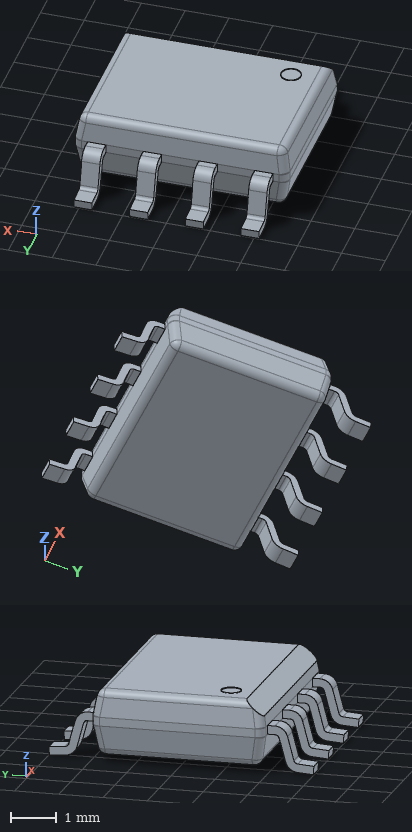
import cadquery as cq
import math

BODY_X = 4.9
BODY_Y = 3.905
BODY_TOP = 1.65
BODY_BOTTOM = 0.15
DRAFT_ANGLE = 9.7
BODY_ROUND = 0.2

BEVEL_TOP_Y = -1.505
BEVEL_ANGLE = 41.0

LEADS_PER_SIDE = 4
LEAD_PITCH = 1.27
LEAD_WIDTH = 0.42
LEAD_THICKNESS = 0.2
LEAD_SPAN = 6.0
LEAD_TOP = 1.05
KNEE_START_Y = 2.12
BEND_RADIUS = 0.2
SHANK_ANGLE = 75.0
FOOT_ANGLE = 4.0

MARKER_DIAMETER = 0.45
MARKER_RECESS = 0.02
MARKER_THICKNESS = 0.03
MARKER_X = -1.63
MARKER_Y = -1.0

BAND_TOP = LEAD_TOP
BAND_BOTTOM = LEAD_TOP - LEAD_THICKNESS


def drafted_prism(plane, width, length):
    """Prism with an upright middle band and sides that lean inward above and below it."""
    half_width = width / 2
    draft = math.tan(math.radians(DRAFT_ANGLE))
    half_top = half_width - draft * (BODY_TOP - BAND_TOP)
    half_bottom = half_width - draft * (BAND_BOTTOM - BODY_BOTTOM)
    return (
        cq.Workplane(plane)
        .moveTo(half_top, BODY_TOP)
        .lineTo(half_width, BAND_TOP)
        .lineTo(half_width, BAND_BOTTOM)
        .lineTo(half_bottom, BODY_BOTTOM)
        .lineTo(-half_bottom, BODY_BOTTOM)
        .lineTo(-half_width, BAND_BOTTOM)
        .lineTo(-half_width, BAND_TOP)
        .lineTo(-half_top, BODY_TOP)
        .close()
        .extrude(length / 2, both=True)
    )


def bevel_cutter():
    """Wedge that removes everything above the sloping plane along the -Y side."""
    reach = BODY_Y / 2
    drop = reach * math.tan(math.radians(BEVEL_ANGLE))
    return (
        cq.Workplane("YZ")
        .moveTo(BEVEL_TOP_Y, BODY_TOP)
        .lineTo(BEVEL_TOP_Y - reach, BODY_TOP - drop)
        .lineTo(BEVEL_TOP_Y - reach, BODY_TOP)
        .close()
        .extrude(BODY_X, both=True)
    )


def marker_disc(top_z, thickness):
    """Disc at the pin 1 position whose upper face lies at top_z."""
    return (
        cq.Workplane("XY", origin=(MARKER_X, MARKER_Y, top_z))
        .circle(MARKER_DIAMETER / 2)
        .extrude(-thickness)
    )


def make_marker():
    return marker_disc(BODY_TOP - MARKER_RECESS, MARKER_THICKNESS)


def make_housing():
    end_profile = drafted_prism("XZ", BODY_X, BODY_Y)
    side_profile = drafted_prism("YZ", BODY_Y, BODY_X)
    body = end_profile.intersect(side_profile)
    upright_corners = body.edges("not(#Z)")
    face_rims = body.faces("<Z or >Z").edges()
    body = body.newObject(upright_corners.vals() + face_rims.vals()).fillet(BODY_ROUND)
    return body.cut(bevel_cutter()).cut(marker_disc(BODY_TOP, MARKER_RECESS + MARKER_THICKNESS))


def make_lead():
    """One lead on the +Y side, centred on X = 0, swept along its centreline."""
    shank = math.radians(SHANK_ANGLE)
    foot = math.radians(FOOT_ANGLE)
    half_thickness = LEAD_THICKNESS / 2

    knee_tangent = BEND_RADIUS * math.tan(shank / 2)
    ankle_tangent = BEND_RADIUS * math.tan((shank - foot) / 2)

    toe_y = LEAD_SPAN / 2 - half_thickness * math.sin(foot)
    toe_z = half_thickness * math.cos(foot)

    knee_y = KNEE_START_Y + knee_tangent
    knee_z = LEAD_TOP - half_thickness
    foot_z_at_knee = toe_z + (toe_y - knee_y) * math.tan(foot)
    ankle_y = knee_y + (knee_z - foot_z_at_knee) / (math.tan(shank) - math.tan(foot))
    ankle_z = knee_z - (ankle_y - knee_y) * math.tan(shank)

    shank_y, shank_z = math.cos(shank), -math.sin(shank)
    foot_y, foot_z = math.cos(foot), -math.sin(foot)
    centreline = (
        cq.Workplane("YZ")
        .moveTo(BODY_Y / 2, knee_z)
        .lineTo(KNEE_START_Y, knee_z)
        .tangentArcPoint((knee_y + knee_tangent * shank_y, knee_z + knee_tangent * shank_z), relative=False)
        .lineTo(ankle_y - ankle_tangent * shank_y, ankle_z - ankle_tangent * shank_z)
        .tangentArcPoint((ankle_y + ankle_tangent * foot_y, ankle_z + ankle_tangent * foot_z), relative=False)
        .lineTo(toe_y, toe_z)
    )
    return (
        cq.Workplane("XZ", origin=(0, BODY_Y / 2, knee_z))
        .rect(LEAD_WIDTH, LEAD_THICKNESS)
        .sweep(centreline)
    )


def make_leads():
    back_lead = make_lead()
    front_lead = back_lead.mirror("XZ")
    leads = []
    for i in range(LEADS_PER_SIDE):
        lead_x = (i - (LEADS_PER_SIDE - 1) / 2) * LEAD_PITCH
        for lead in (back_lead, front_lead):
            leads.append(lead.translate((lead_x, 0, 0)).val())
    return leads


housing = make_housing()
marker = make_marker()
leads = make_leads()

result = cq.Compound.makeCompound([housing.solids().val(), marker.val(), *leads])